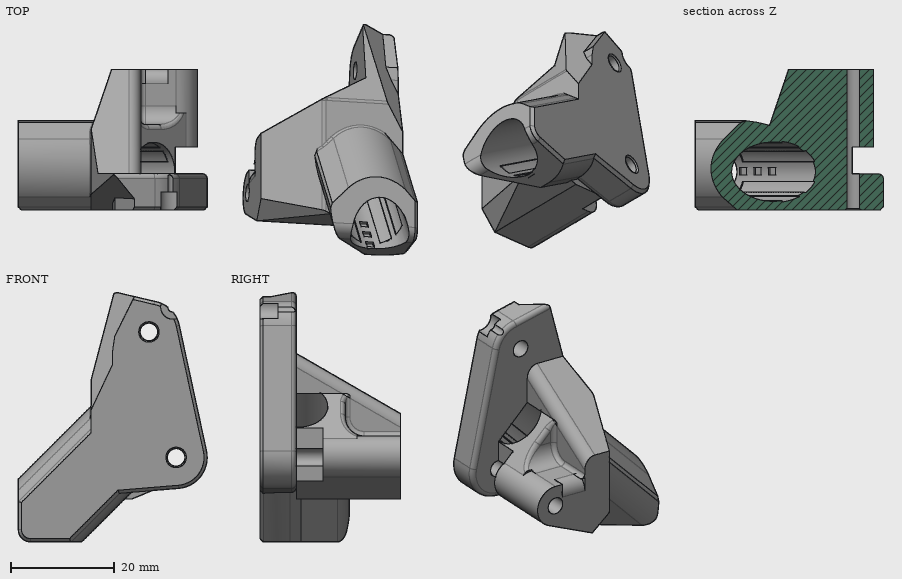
import cadquery as cq
import math

HEIGHT = 48.4
DEPTH = 27.3
PLATE_THICKNESS = 7.05
EDGE_CHAMFER = 0.65
BACK_ROUND = 0.95

UPPER_EYE = (25.35, 40.75)
LOWER_EYE = (30.65, 16.4)
CORNER_RADIUS = 6.05
CORNER_START_ANGLE = 23.0
EYE_RADIUS = 1.7
COUNTERSINK = 0.3

WALL_X = 14.15
WALL_TOP_Z = 31.45
WALL_ROUND = 2.4
PEAK_X = 18.65
PEAK_Z = 48.55

PLATE_HEEL = (19.1, 9.4)

BORE_Y = 7.45
BORE_RADIUS = 5.7
TUBE_LENGTH = 29.05
MOUTH_DISTANCE = 37.2
TUBE_TOP = 8.6
TUBE_BOTTOM = -8.7
FOOT_RADIUS = 2.4
TUBE_ROOT_ROUND = 0.7

TUBE_FRONT_SIDE = [(0, -6.6), (0, 5.0), (0.65, 5.5), (2.55, 7.05)]
TUBE_CROWN = (7.75, TUBE_TOP)
TUBE_BACK_SHOULDER = [(13.85, 6.8), (17.05, 4.5), (17.35, 3.77)]
TUBE_BACK_BULGE = [(16.65, 0.95), (15.1, -1.7)]
TUBE_FOOT_FLAT = [(8.0, TUBE_BOTTOM), (5.8, TUBE_BOTTOM)]
TUBE_FRONT_BULGE = [(2.9, -8.25), (0.7, -7.25)]

GROOVE_ANGLES = (-66, -31, 31, 66)
GROOVE_HALF_ANGLE = 12.0
GROOVE_DEPTH = 0.25
GROOVE_START = 7.6
GROOVE_END = 35.5

RECESS_COUNT = 3
RECESS_Y = 7.55
RECESS_WIDTH = 1.5
RECESS_LENGTH = 1.95
RECESS_DEPTH = 0.5
RECESS_PITCH = 3.95
RECESS_START = 6.45

BEVEL_FOOT = (WALL_X, 0, 25.6)
BEVEL_FRONT = (18.3, 0, 34.4)
BEVEL_BACK = (WALL_X, 3.05, WALL_TOP_Z)

PAD_EDGE = [(18.35, 37.25), (18.75, 39.9), (22.6, 47.7)]

NOTCH_CENTER = (30.0, 45.6)
NOTCH_RADIUS = 2.35
NOTCH_DEPTH = 3.55
NOTCH_INNER_RADIUS = 0.95

RIDGE_X = 23.8
RIDGE_ROUND = 2.3
ARM_RADIUS = 4.15
ARM_HEEL = (22.05, 8.3)
SLOPE_START_Y = PLATE_THICKNESS
SLOPE_START_Z = 36.6
SLOPE_ANGLE = 30.0
FORK_X = 30.5
FORK_BACK_Y = 12.2

LEDGE_Y = 16.6
ARM_START_Y = 18.85
LEDGE_ROUND = 3.65
LEDGE_CORNER_ROUND = 0.85
LEDGE_BROW_ROUND = 0.95
LEDGE_DIP_X = 29.05
LEDGE_DIP_ROUND = 2.7

OBLIQUE_START = (WALL_X, 15.65)
OBLIQUE_END = (18.1, DEPTH)

HEEL_BACK_Z = 11.7
HEEL_FRONT = (14.85, 17.4, 9.3)

SIN45 = math.sqrt(0.5)
NEAR = 0.1


def xz_plane(y):
    """Sketch plane at the given y; sketch axes are X and Z, extrusion goes to +Y."""
    return cq.Plane(origin=(0, y, 0), xDir=(1, 0, 0), normal=(0, -1, 0))


def extrude_y(sketch_points, y_start, y_end):
    return cq.Workplane(xz_plane(y_start)).polyline(sketch_points).close().extrude(y_start - y_end)


def cylinder_y(center, radius, y_start, y_end):
    return cq.Workplane(xz_plane(y_start)).center(*center).circle(radius).extrude(y_start - y_end)


def tube_plane(distance):
    """Plane across the bore; sketch axes are Y and height above the bore axis."""
    origin = (distance * SIN45, 0, distance * SIN45)
    return cq.Plane(origin=origin, xDir=(0, 1, 0), normal=(SIN45, 0, SIN45))


def on_circle(center, radius, angle):
    angle = math.radians(angle)
    return (center[0] + radius * math.cos(angle), center[1] + radius * math.sin(angle))


def tangent_angle(point, center, radius):
    """Polar angle, about the center, of the right-hand tangent point seen from the point."""
    dx = center[0] - point[0]
    dz = center[1] - point[1]
    tilt = math.asin(radius / math.hypot(dx, dz))
    return math.degrees(math.atan2(dz, dx) - tilt) - 90


def half_space(first, second, third):
    """Large block bounded by the plane through three points, on its counterclockwise side."""
    normal = (second - first).cross(third - first)
    plane = cq.Plane(origin=first, xDir=second - first, normal=normal)
    return cq.Workplane(plane).rect(4 * HEIGHT, 4 * HEIGHT).extrude(HEIGHT)


def make_plate():
    eye_line = math.degrees(math.atan2(UPPER_EYE[1] - LOWER_EYE[1], UPPER_EYE[0] - LOWER_EYE[0]))
    right_angle = eye_line - 90
    top_angle = eye_line - CORNER_START_ANGLE
    heel_angle = tangent_angle(PLATE_HEEL, LOWER_EYE, CORNER_RADIUS)

    def upper(angle):
        return on_circle(UPPER_EYE, CORNER_RADIUS, angle)

    def lower(angle):
        return on_circle(LOWER_EYE, CORNER_RADIUS, angle)

    plate = (
        cq.Workplane(xz_plane(0))
        .moveTo(WALL_X, WALL_TOP_Z)
        .lineTo(PEAK_X, PEAK_Z)
        .lineTo(*upper(top_angle))
        .threePointArc(upper((top_angle + right_angle) / 2), upper(right_angle))
        .lineTo(*lower(right_angle))
        .threePointArc(lower((right_angle + heel_angle) / 2), lower(heel_angle))
        .lineTo(*PLATE_HEEL)
        .lineTo(WALL_X, PLATE_HEEL[1])
        .close()
        .extrude(-PLATE_THICKNESS)
    )
    rim = cq.selectors.BoxSelector((PEAK_X + 0.5, -0.5, 0), (HEIGHT, DEPTH, HEIGHT))
    plate = plate.faces("<Y").edges(rim).chamfer(EDGE_CHAMFER)
    return plate.faces(">Y").edges(rim).fillet(BACK_ROUND)


def make_tube():
    tube = (
        cq.Workplane(tube_plane(-TUBE_TOP))
        .polyline(TUBE_FRONT_SIDE)
        .threePointArc(TUBE_CROWN, TUBE_BACK_SHOULDER[0])
        .polyline(TUBE_BACK_SHOULDER)
        .threePointArc(*TUBE_BACK_BULGE)
        .polyline([TUBE_BACK_BULGE[-1], *TUBE_FOOT_FLAT])
        .threePointArc(*TUBE_FRONT_BULGE)
        .close()
        .extrude(TUBE_LENGTH + TUBE_TOP)
    )
    ends = (
        cq.Workplane("XY")
        .box(HEIGHT, DEPTH, HEIGHT, centered=False)
        .edges("|Y and <X and <Z")
        .fillet(FOOT_RADIUS)
        .faces("<Y")
        .chamfer(EDGE_CHAMFER)
    )
    return tube.intersect(ends)


def make_bore():
    bore = cq.Workplane(tube_plane(-TUBE_TOP)).center(BORE_Y, 0).circle(BORE_RADIUS)
    bore = bore.extrude(MOUTH_DISTANCE + TUBE_TOP)
    for angle in GROOVE_ANGLES:
        bore = bore.union(make_bore_groove(angle))
    for index in range(RECESS_COUNT):
        bore = bore.union(make_bore_recess(RECESS_START + index * RECESS_PITCH))
    return bore


def make_bore_groove(angle):
    length = GROOVE_END - GROOVE_START
    base = cq.Workplane(tube_plane(GROOVE_START)).center(BORE_Y, 0)
    middle = angle - 90
    first_side = on_circle((0, 0), 2 * BORE_RADIUS, middle - GROOVE_HALF_ANGLE)
    second_side = on_circle((0, 0), 2 * BORE_RADIUS, middle + GROOVE_HALF_ANGLE)
    sector = base.polyline([(0, 0), first_side, second_side]).close().extrude(length)
    rod = base.circle(BORE_RADIUS + GROOVE_DEPTH).extrude(length)
    return rod.intersect(sector)


def make_bore_recess(start):
    base = cq.Workplane(tube_plane(start)).center(RECESS_Y, -BORE_RADIUS)
    return base.rect(RECESS_WIDTH, 2 * RECESS_DEPTH).extrude(RECESS_LENGTH)


def make_body():
    mouth_sum = MOUTH_DISTANCE / SIN45
    heel_angle = tangent_angle(ARM_HEEL, LOWER_EYE, ARM_RADIUS)
    mouth_offset = (mouth_sum - sum(LOWER_EYE)) * SIN45
    mouth_angle = 45 + math.degrees(math.acos(mouth_offset / ARM_RADIUS))

    def arm(angle):
        return on_circle(LOWER_EYE, ARM_RADIUS, angle)

    lower_block = (
        cq.Workplane(xz_plane(SLOPE_START_Y))
        .moveTo(*ARM_HEEL)
        .lineTo(*arm(heel_angle))
        .threePointArc(arm((heel_angle + mouth_angle) / 2), arm(mouth_angle))
        .lineTo(RIDGE_X, mouth_sum - RIDGE_X)
        .lineTo(RIDGE_X, LOWER_EYE[1])
        .lineTo(ARM_HEEL[0], LOWER_EYE[1])
        .close()
        .extrude(SLOPE_START_Y - DEPTH)
    )
    above_arm = (
        cq.Workplane("XY", origin=(LOWER_EYE[0], ARM_START_Y, LOWER_EYE[1]))
        .box(HEIGHT, DEPTH, HEIGHT, centered=False)
    )
    arm_end = cylinder_y(LOWER_EYE, ARM_RADIUS, ARM_START_Y, DEPTH)
    lower_block = lower_block.cut(above_arm).union(arm_end).cut(make_ledge_cutter())
    brow = cq.selectors.BoxSelector(
        (RIDGE_X + 0.5, LEDGE_Y - NEAR, LOWER_EYE[1]), (HEIGHT, LEDGE_Y + NEAR, HEIGHT)
    )
    lower_block = lower_block.edges(brow).fillet(LEDGE_BROW_ROUND)
    body = make_ridge().union(lower_block.cut(make_slope_cutter()))
    return body.cut(make_heel_cutter())


def make_ridge():
    """Upper left part of the body, under the roof that falls toward the back."""
    profile = [
        (WALL_X, ARM_HEEL[1]),
        (ARM_HEEL[0], ARM_HEEL[1]),
        (ARM_HEEL[0], LOWER_EYE[1]),
        (RIDGE_X, LOWER_EYE[1]),
        (RIDGE_X, HEIGHT),
        (PEAK_X, PEAK_Z),
        (WALL_X, WALL_TOP_Z),
    ]
    ridge = extrude_y(profile, SLOPE_START_Y, DEPTH)
    ridge = ridge.cut(make_slope_cutter())
    ridge = ridge.faces(">X").edges(">Z").fillet(RIDGE_ROUND)
    ridge = ridge.cut(make_oblique_cutter())
    upright = cq.selectors.BoxSelector(
        (WALL_X - NEAR, OBLIQUE_START[1] - NEAR, 0), (WALL_X + NEAR, OBLIQUE_START[1] + NEAR, HEIGHT)
    )
    return ridge.edges(upright).fillet(WALL_ROUND)


def make_slope_cutter():
    """Everything above the roof that falls toward the back."""
    drop = (DEPTH - SLOPE_START_Y) * math.tan(math.radians(SLOPE_ANGLE))
    return (
        cq.Workplane("YZ")
        .moveTo(SLOPE_START_Y, SLOPE_START_Z)
        .lineTo(DEPTH, SLOPE_START_Z - drop)
        .lineTo(DEPTH, PEAK_Z)
        .lineTo(SLOPE_START_Y, PEAK_Z)
        .close()
        .extrude(HEIGHT)
    )


def make_ledge_cutter():
    """Space above the arm, rounded into the wall in front and falling off at the back."""
    floor = LOWER_EYE[1] + ARM_RADIUS
    flat = (
        cq.Workplane("XY", origin=(RIDGE_X, LEDGE_Y, floor))
        .box(HEIGHT, DEPTH, HEIGHT, centered=False)
        .edges("<Y and <Z")
        .fillet(LEDGE_ROUND)
        .edges("<X and <Z")
        .fillet(LEDGE_CORNER_ROUND)
    )
    dip_start = DEPTH - LEDGE_DIP_ROUND
    dip_floor = floor - LEDGE_DIP_ROUND
    dip = (
        cq.Workplane("YZ", origin=(RIDGE_X, 0, 0))
        .moveTo(dip_start, floor)
        .threePointArc(
            on_circle((dip_start, dip_floor), LEDGE_DIP_ROUND, 45),
            (DEPTH, dip_floor),
        )
        .lineTo(DEPTH, floor)
        .close()
        .extrude(LEDGE_DIP_X - RIDGE_X)
    )
    return flat.union(dip)


def make_oblique_cutter():
    """Everything to the left of the oblique face."""
    return (
        cq.Workplane("XY")
        .polyline([OBLIQUE_START, OBLIQUE_END, (0, DEPTH), (0, 0), (OBLIQUE_START[0], 0)])
        .close()
        .extrude(HEIGHT)
    )


def make_heel_cutter():
    """Slanted cut along the lower left edge of the body, running out at its lower corner."""
    back = cq.Vector(OBLIQUE_END[0], DEPTH, HEEL_BACK_Z)
    front = cq.Vector(*HEEL_FRONT)
    corner = cq.Vector(ARM_HEEL[0], DEPTH, ARM_HEEL[1])
    return half_space(back, corner, front)


def make_fork_gap():
    """Gap between the plate and the arm around the lower eye."""
    return (
        cq.Workplane("XY", origin=(FORK_X, PLATE_THICKNESS, 0))
        .box(HEIGHT, FORK_BACK_Y - PLATE_THICKNESS, HEIGHT, centered=False)
    )


def make_bevel_cutter():
    """Bevel of the upper left corner, leaving a pad around the upper eye."""
    foot, front, back = (cq.Vector(*point) for point in (BEVEL_FOOT, BEVEL_FRONT, BEVEL_BACK))
    bevel = half_space(foot, front, back)
    pad_start = (BEVEL_FRONT[0], BEVEL_FRONT[2])
    pad_right = [(HEIGHT, PAD_EDGE[-1][1]), (HEIGHT, 0)]
    pad = extrude_y([pad_start, *PAD_EDGE, *pad_right], -HEIGHT, HEIGHT)
    return bevel.cut(pad)


def make_corner_notch():
    notch = cylinder_y(NOTCH_CENTER, NOTCH_RADIUS, 0, NOTCH_DEPTH)
    return notch.union(cylinder_y(NOTCH_CENTER, NOTCH_INNER_RADIUS, 0, PLATE_THICKNESS))


def make_eye(center):
    """Countersunk through hole for a screw."""
    hole = cylinder_y(center, EYE_RADIUS, 0, DEPTH)
    mouth = (
        cq.Workplane(xz_plane(0))
        .center(*center)
        .circle(EYE_RADIUS + COUNTERSINK)
        .workplane(offset=-COUNTERSINK)
        .circle(EYE_RADIUS)
        .loft()
    )
    return hole.union(mouth)


def round_wall_top(part):
    """Round the edge where the upright wall turns into the leaning one."""
    edge = cq.selectors.BoxSelector(
        (WALL_X - NEAR, 0, WALL_TOP_Z - NEAR), (WALL_X + NEAR, DEPTH, WALL_TOP_Z + NEAR)
    )
    return part.edges(edge).fillet(WALL_ROUND)


def round_tube_root(part):
    """Fill the corner where the top of the tube meets the wall of the body."""
    crown_z = WALL_X + TUBE_TOP / SIN45
    shoulder_z = WALL_X + TUBE_BACK_SHOULDER[1][1] / SIN45
    root = cq.selectors.BoxSelector(
        (WALL_X - NEAR, PLATE_THICKNESS, shoulder_z), (WALL_X + NEAR, OBLIQUE_START[1] + NEAR, crown_z)
    )
    return part.edges(root).fillet(TUBE_ROOT_ROUND)


plate = make_plate().cut(make_corner_notch())
body = make_body().cut(make_fork_gap())
outer = round_wall_top(plate.union(body)).cut(make_bevel_cutter())
outer = round_tube_root(outer.union(make_tube()))
result = outer.cut(make_bore()).cut(make_eye(UPPER_EYE)).cut(make_eye(LOWER_EYE))